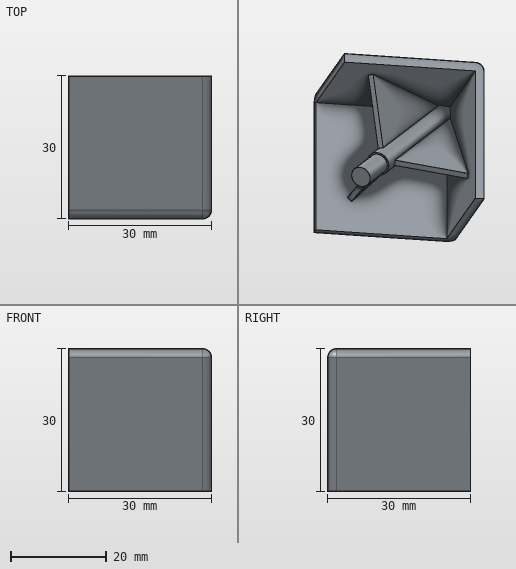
import cadquery as cq
import math

SIZE = 30.0
WALL = 1.9
EDGE_RADIUS = WALL
ROD_RADIUS = 2.5
TIP_RADIUS = 2.15
SHOULDER_DISTANCE = 32.7
TIP_DISTANCE = 40.9
WEB_THICKNESS = 1.2
WEB_AXIS_REACH = 17.7
WEB_WALL_REACH = 20.9

INNER_CORNER = cq.Vector(SIZE - WALL, WALL, SIZE - WALL)
INWARD = (cq.Vector(-1, 0, 0), cq.Vector(0, 1, 0), cq.Vector(0, 0, -1))
DIAGONAL = (INWARD[0] + INWARD[1] + INWARD[2]).normalized()
ROOT_OVERLAP = 2 * ROD_RADIUS


def make_rounded_block():
    """Solid cube with the three edges around the closed corner rounded."""
    cube = cq.Workplane("XY").box(SIZE, SIZE, SIZE, centered=False)
    return cube.edges("(>X and <Y) or (>X and >Z) or (<Y and >Z)").fillet(EDGE_RADIUS)


def make_cavity():
    """Open space enclosed by the three walls, meeting at a sharp inner corner."""
    side = SIZE - WALL
    return cq.Workplane("XY").box(side, side, side, centered=False).translate((0, WALL, 0))


def make_rod():
    """Stepped round rod along the cube diagonal."""
    root = INNER_CORNER - DIAGONAL * ROOT_OVERLAP
    body = cq.Solid.makeCylinder(ROD_RADIUS, ROOT_OVERLAP + SHOULDER_DISTANCE, root, DIAGONAL)
    tip = cq.Solid.makeCylinder(TIP_RADIUS, TIP_DISTANCE, INNER_CORNER, DIAGONAL)
    return cq.Workplane(body).union(cq.Workplane(tip))


def make_web(wall_normal):
    """Triangular web standing on the diagonal of one wall and reaching to the rod axis."""
    wall_diagonal = INWARD[0] + INWARD[1] + INWARD[2] - wall_normal
    plane = cq.Plane(INNER_CORNER, wall_diagonal, wall_diagonal.cross(wall_normal))
    wall_point = (math.sqrt(2) * WEB_WALL_REACH, 0)
    axis_point = (math.sqrt(2) * WEB_AXIS_REACH, WEB_AXIS_REACH)
    return (
        cq.Workplane(plane)
        .polyline([(0, 0), wall_point, axis_point])
        .close()
        .extrude(WEB_THICKNESS / 2, both=True)
    )


cavity = make_cavity()
stiffened_rod = make_rod()
for normal in INWARD:
    stiffened_rod = stiffened_rod.union(make_web(normal))

result = make_rounded_block().cut(cavity).union(stiffened_rod.intersect(cavity))